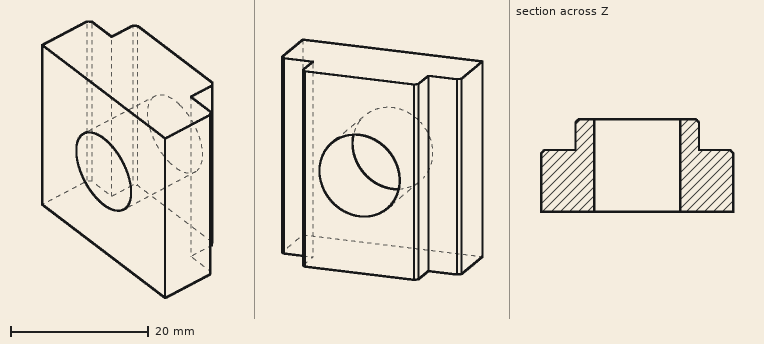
import cadquery as cq

base_width = 28.0
neck_width = 18.0
height = 30.0
base_depth = 9.0
neck_depth = 4.5
edge_chamfer = 0.5
hole_diameter = 12.5

total_depth = base_depth + neck_depth


def chamfered_bar(width, depth):
    """Full-height bar from the front face (Y = 0) with its two rear vertical edges chamfered."""
    bar = cq.Workplane("XY").box(width, depth, height, centered=(True, False, True))
    return bar.faces(">Y").edges("|Z").chamfer(edge_chamfer)


def through_hole():
    """Round cutter along Y through the whole depth of the nut."""
    front_plane = cq.Workplane("XZ")
    return front_plane.circle(hole_diameter / 2).extrude(-total_depth)


base = chamfered_bar(base_width, base_depth)
neck = chamfered_bar(neck_width, total_depth)

result = base.union(neck).cut(through_hole())